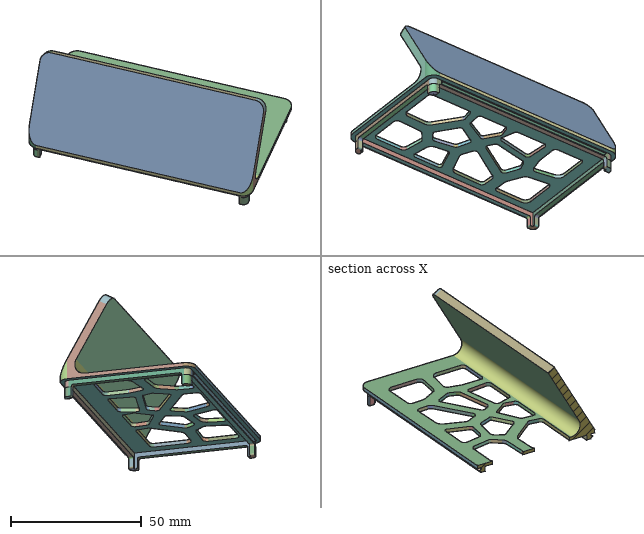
import math

import cadquery as cq

WIDTH = 90.0
DEPTH = 54.1
PLATE_THICKNESS = 1.5
CORNER_RADIUS = 4.0

OVERALL_HEIGHT = 40.24
PANEL_ANGLE = math.radians(60)
PANEL_RUN = 4.0
INNER_FILLET = 4.0

RIM_INSET = 1.8
WALL = 2.0
RIM_RADIUS = CORNER_RADIUS - RIM_INSET
RIM_SKIRT = 2.7
FOOT_DEPTH = 6.5
FOOT_RADIUS = 2.0
FOOT_TIP_RADIUS = 0.5
FOOT_LENGTH = 3.15
FRONT_RIM_DEPTH = 2.1
SIDE_RIM_DEPTH = 1.8

RIDGE_LENGTH = 78.0
RIDGE_DEPTH = 1.15
RIDGE_HALF_HEIGHT = 0.6
RIDGE_REACH = 1.0

CELLS = [
    [(-37.2, 47.5, 2.2), (-22.5, 47.5, 2.0), (-20.9, 38.1, 1.5), (-24.7, 33.4, 2.5), (-37.2, 32.8, 1.8)],
    [(-18.2, 48.2, 1.5), (-4.3, 48.2, 1.0), (-8.0, 37.5, 1.5), (-16.7, 38.6, 3.0)],
    [(0.3, 47.4, 3.0), (15.2, 47.7, 1.5), (15.5, 41.0, 2.0), (-0.7, 30.4, 1.5), (-3.8, 36.7, 2.0)],
    [(20.4, 47.3, 1.5), (36.1, 47.4, 2.6), (36.2, 31.4, 1.8), (24.7, 32.8, 3.0), (20.7, 40.3, 4.0)],
    [(-18.2, 35.5, 2.3), (-7.9, 33.8, 1.8), (-5.4, 27.3, 0.8), (-14.1, 21.9, 1.2), (-20.9, 30.9, 0.8)],
    [(16.7, 37.0, 1.5), (20.1, 30.0, 1.5), (18.6, 25.7, 2.0), (3.0, 22.5, 1.5), (0.3, 26.5, 1.5)],
    [(-37.1, 28.4, 2.5), (-25.3, 28.7, 3.0), (-16.4, 17.2, 1.5), (-17.3, 11.6, 1.5), (-37.1, 11.6, 1.5)],
    [(24.4, 28.5, 1.8), (36.4, 26.5, 3.0), (36.5, 11.6, 1.5), (22.6, 11.6, 1.5), (22.7, 21.6, 2.0)],
    [(-3.5, 23.5, 1.0), (1.2, 16.9, 1.5), (0.0, 11.6, 1.5), (-13.7, 11.6, 1.5), (-13.1, 18.3, 1.5)],
    [(18.1, 22.8, 1.2), (19.1, 11.6, 1.5), (4.2, 11.6, 1.5), (1.8, 19.5, 1.5)],
]

RIM_WIDTH = WIDTH - 2 * RIM_INSET
RIM_LENGTH = DEPTH - 2 * RIM_INSET
MID_Y = DEPTH / 2


def rounded_block(width, length, radius, z_low, z_high):
    """Upright block centred on the plate, with rounded vertical edges."""
    block = cq.Workplane("XY").box(width, length, z_high - z_low, centered=(True, True, False))
    return block.edges("|Z").fillet(radius).translate((0, MID_Y, z_low))


def make_plate_and_panel():
    """Plate and leaning panel from one side profile, with rounded corners."""
    panel_rise = OVERALL_HEIGHT - FOOT_DEPTH - PLATE_THICKNESS
    top_y = panel_rise / math.tan(PANEL_ANGLE)
    top_z = PLATE_THICKNESS + panel_rise
    thickness = PANEL_RUN * math.sin(PANEL_ANGLE)
    back_top_y = top_y + thickness * math.sin(PANEL_ANGLE)
    back_top_z = top_z - thickness * math.cos(PANEL_ANGLE)
    profile = [
        (0, 0),
        (DEPTH, 0),
        (DEPTH, PLATE_THICKNESS),
        (PANEL_RUN, PLATE_THICKNESS),
        (back_top_y, back_top_z),
        (top_y, top_z),
        (0, PLATE_THICKNESS),
    ]
    body = cq.Workplane("YZ").polyline(profile).close().extrude(WIDTH / 2, both=True)
    inner_corner = cq.selectors.NearestToPointSelector((0, PANEL_RUN, PLATE_THICKNESS))
    body = body.edges(inner_corner).fillet(INNER_FILLET)
    for side in (-1, 1):
        panel_corner = (side * WIDTH / 2, (top_y + back_top_y) / 2, (top_z + back_top_z) / 2)
        body = body.edges(cq.selectors.NearestToPointSelector(panel_corner)).fillet(CORNER_RADIUS)
    return body.intersect(rounded_block(WIDTH, DEPTH, CORNER_RADIUS, 0, OVERALL_HEIGHT))


def make_cell(corners):
    """Polygon through the plate with its own radius at each corner."""
    outline = [(x, y) for x, y, _ in corners]
    cell = cq.Workplane("XY").polyline(outline).close().extrude(PLATE_THICKNESS)
    for x, y, radius in corners:
        upright_edge = cq.selectors.NearestToPointSelector((x, y, PLATE_THICKNESS / 2))
        cell = cell.edges("|Z").edges(upright_edge).fillet(radius)
    return cell


def make_opening(plane, gap, rim_depth):
    """Arched gap between two feet, cut right across the frame below the rim."""
    blend = RIM_SKIRT - rim_depth
    tip = FOOT_TIP_RADIUS
    half = gap / 2
    arc_offset = tip * (1 - math.sqrt(0.5))
    return (
        cq.Workplane(plane)
        .moveTo(-half + blend, -rim_depth)
        .lineTo(half - blend, -rim_depth)
        .radiusArc((half, -RIM_SKIRT), blend)
        .lineTo(half, -FOOT_DEPTH + tip)
        .threePointArc(
            (half + arc_offset, -FOOT_DEPTH + arc_offset),
            (half + tip, -FOOT_DEPTH),
        )
        .lineTo(-half - tip, -FOOT_DEPTH)
        .threePointArc(
            (-half - arc_offset, -FOOT_DEPTH + arc_offset),
            (-half, -FOOT_DEPTH + tip),
        )
        .lineTo(-half, -RIM_SKIRT)
        .radiusArc((-half + blend, -rim_depth), blend)
        .close()
        .extrude(WIDTH, both=True)
    )


def make_rim_and_feet():
    """Open frame below the plate, cut back to a shallow rim between the feet."""
    skirt = rounded_block(RIM_WIDTH, RIM_LENGTH, RIM_RADIUS, -RIM_SKIRT, 0)
    feet = rounded_block(RIM_WIDTH, RIM_LENGTH, FOOT_RADIUS, -FOOT_DEPTH, -RIM_SKIRT)
    inside = cq.Workplane("XY").box(
        RIM_WIDTH - 2 * WALL, RIM_LENGTH - 2 * WALL, FOOT_DEPTH, centered=(True, True, False)
    )
    frame = skirt.union(feet).cut(inside.translate((0, MID_Y, -FOOT_DEPTH)))
    front_gap = make_opening("XZ", RIM_WIDTH - 2 * FOOT_LENGTH, FRONT_RIM_DEPTH)
    side_gap = make_opening("YZ", RIM_LENGTH - 2 * FOOT_LENGTH, SIDE_RIM_DEPTH)
    return frame.cut(front_gap).cut(side_gap.translate((0, MID_Y, 0)))


def make_ridge(wall_y, outward):
    """Triangular snap ridge on one long outer face of the rim."""
    buried_y = wall_y - outward * WALL / 2
    profile = [
        (buried_y, -RIDGE_DEPTH + RIDGE_HALF_HEIGHT),
        (wall_y, -RIDGE_DEPTH + RIDGE_HALF_HEIGHT),
        (wall_y + outward * RIDGE_REACH, -RIDGE_DEPTH),
        (wall_y, -RIDGE_DEPTH - RIDGE_HALF_HEIGHT),
        (buried_y, -RIDGE_DEPTH - RIDGE_HALF_HEIGHT),
    ]
    return cq.Workplane("YZ").polyline(profile).close().extrude(RIDGE_LENGTH / 2, both=True)


result = make_plate_and_panel()
for cell_corners in CELLS:
    result = result.cut(make_cell(cell_corners))
result = result.union(make_rim_and_feet())
result = result.union(make_ridge(RIM_INSET, -1))
result = result.union(make_ridge(DEPTH - RIM_INSET, 1))